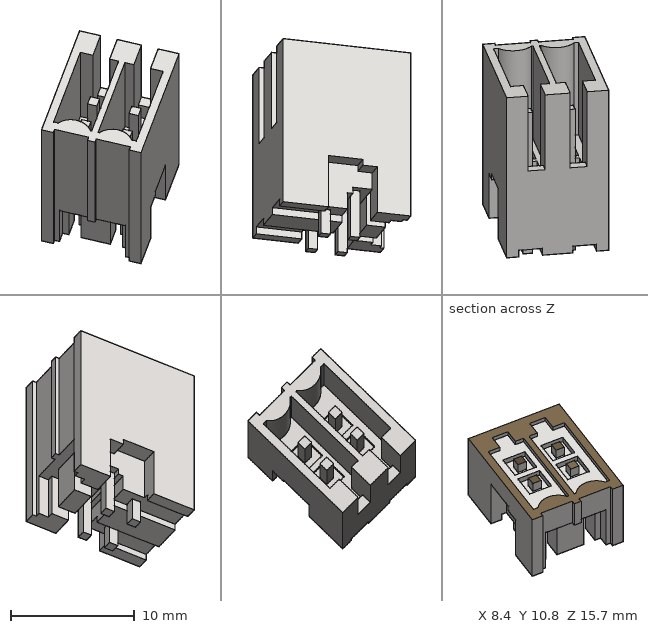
import cadquery as cq


body_width = 8.4
body_depth = 10.8
body_height = 14.2

pin_size = 0.78
pin_tail = 1.5
pin_top = 10.99
pin_pitch = 3.5
front_row_y = 4.07
row_spacing = 2.5
pin_columns = [-pin_pitch / 2, pin_pitch / 2]
pin_rows = [front_row_y, front_row_y + row_spacing]

side_wall = 0.7
middle_wall = 0.53
front_wall = 1.07
rear_wall = 2.15
floor_z = 6.0

ridge_width = 2.72
ridge_height = 0.69

recess_size = 2.01
recess_depth = 0.5

rear_slot_width = 1.4
rear_slot_offset = 1.73
sill_depth = 0.88
sill_height = 1.57

corner_rib_width = 1.0
middle_rib_width = 0.65
panel_recess = 0.35

core_width = 5.55
opening_top = 3.95
opening_depth = 1.24
pin_slot_width = 1.0
window_front = 2.83
window_step_y = 4.05
window_rear = pin_rows[1] + pin_size / 2
window_top = 4.46
gap_step_y = pin_rows[0] + pin_size / 2
gap_rear = 4.91
gap_front_top = 2.53
gap_rear_top = 2.0
rear_notch_height = 0.6


def box(x_range, y_range, z_range):
    """Block that spans the given ranges along X, Y and Z."""
    (x0, x1), (y0, y1), (z0, z1) = x_range, y_range, z_range
    return cq.Workplane("XY").box(x1 - x0, y1 - y0, z1 - z0, centered=False).translate((x0, y0, z0))


def centred(middle, width):
    """Range of the given width around a middle value."""
    return (middle - width / 2, middle + width / 2)


def mirrored(shape):
    """The shape together with its mirror image on the other side of X = 0."""
    return shape.union(shape.mirror("YZ"))


def pocket():
    """Space of the right-hand pocket with its ridge, rear slot and pin recesses."""
    space = box(
        (middle_wall / 2, body_width / 2 - side_wall),
        (front_wall, body_depth - rear_wall),
        (floor_z, body_height),
    )
    column_x = pin_columns[1]
    ridge = (
        cq.Workplane("XY", origin=(column_x, front_wall, floor_z))
        .moveTo(-ridge_width / 2, 0)
        .threePointArc((0, ridge_height), (ridge_width / 2, 0))
        .close()
        .extrude(body_height - floor_z)
    )
    slot_x = centred(rear_slot_offset, rear_slot_width)
    sill_y = body_depth - sill_depth
    inner_slot = box(slot_x, (body_depth - rear_wall, sill_y), (floor_z, body_height))
    outer_slot = box(slot_x, (sill_y, body_depth), (floor_z + sill_height, body_height))
    space = space.cut(ridge).union(inner_slot).union(outer_slot)
    for row_y in pin_rows:
        recess = box(
            centred(column_x, recess_size),
            centred(row_y, recess_size),
            (floor_z - recess_depth, floor_z),
        )
        space = space.union(recess)
    return space


def front_panel():
    """Shallow recess between the middle rib and the right-hand corner rib."""
    return box(
        (middle_rib_width / 2, body_width / 2 - corner_rib_width),
        (0, panel_recess),
        (0, body_height),
    )


def front_opening():
    """Opening below the front panels that bares the front of the core."""
    return box(centred(0, core_width), (0, opening_depth), (0, opening_top))


def pin_slot():
    """Upright slot in the front of the core, ahead of the right-hand pins."""
    return box(
        centred(pin_columns[1], pin_slot_width),
        (opening_depth, window_front),
        (0, opening_top),
    )


def side_window():
    """Stepped window in the right-hand side wall, as deep as the side of the core."""
    side_x = (core_width / 2, body_width / 2)
    low_part = box(side_x, (window_front, window_step_y), (0, opening_top))
    high_part = box(side_x, (window_step_y, window_rear), (0, window_top))
    return low_part.union(high_part)


def cross_gap():
    """Gap under the core that runs through the housing from side to side."""
    full_x = centred(0, body_width)
    front_part = box(full_x, (window_front, gap_step_y), (0, gap_front_top))
    rear_part = box(full_x, (gap_step_y, gap_rear), (0, gap_rear_top))
    return front_part.union(rear_part)


def rear_notch():
    """Low notch under the right-hand half, from the cross gap to the rear face."""
    return box(
        (pin_columns[1] - pin_slot_width / 2, body_width / 2 - corner_rib_width),
        (gap_rear, body_depth),
        (0, rear_notch_height),
    )


def pin(x, y):
    """Straight square contact pin."""
    return box(centred(x, pin_size), centred(y, pin_size), (-pin_tail, pin_top))


def housing_body(pins):
    """Housing with all its openings and a fitting hole for each pin."""
    body = box(centred(0, body_width), (0, body_depth), (0, body_height))
    for feature in (pocket(), front_panel(), pin_slot(), side_window(), rear_notch()):
        body = body.cut(mirrored(feature))
    body = body.cut(front_opening()).cut(cross_gap())
    for contact in pins:
        body = body.cut(contact)
    return body.solids()


contact_pins = [pin(x, y) for x in pin_columns for y in pin_rows]
housing = housing_body(contact_pins)

result = cq.Compound.makeCompound([housing.val(), *[contact.val() for contact in contact_pins]])